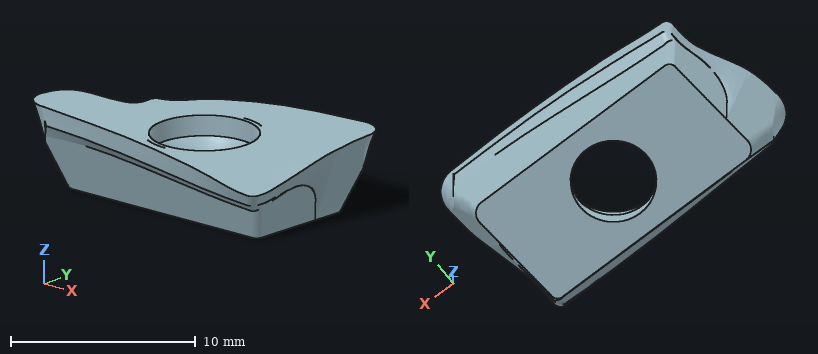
import cadquery as cq
import math


height = 4.8
nose_band_height = 4.0
corner_height = 2.9
corner_low_height = 2.23
nose_half_width = 4.65

ring_height = 3.72
ring_radius = 3.3
mouth_radius = 3.01
bore_radius = 2.32
seat_top = 2.55
seat_bottom = 0.69

bottom_half_width = 3.49
bottom_half_length = 6.94
end_skew = 0.08
body_taper = 0.28
end_flank_taper = 0.4

V = cq.Vector


def half_turn(point):
    return V(-point.x, -point.y, point.z)


def on_side(x, z):
    """Point on the flat tapered long side."""
    return V(x, -bottom_half_width - body_taper * z, z)


def on_end(y, z, taper):
    """Point on an end plane that leans outward by the given taper."""
    return V(bottom_half_length + end_skew * y + taper * z, y, z)


def on_body_end(y, z):
    return on_end(y, z, body_taper)


def on_flank_end(y, z):
    return on_end(y, z, end_flank_taper)


def on_ring(degrees):
    angle = math.radians(degrees)
    return V(ring_radius * math.cos(angle), ring_radius * math.sin(angle), ring_height)


def both(shapes):
    """The given shapes together with their half-turn copies."""
    return shapes + [shape.rotate(V(0, 0, 0), V(0, 0, 1), 180) for shape in shapes]


def line(start, end):
    return cq.Edge.makeLine(start, end)


def curve(points):
    return cq.Edge.makeSpline(points)


def arc(start, middle, end):
    return cq.Edge.makeThreePointArc(start, middle, end)


def ring_arc(start, end):
    return arc(on_ring(start), on_ring((start + end) / 2), on_ring(end))


def span(upper, lower):
    return cq.Face.makeRuledSurface(upper, lower)


def flat(*edges):
    return cq.Face.makeFromWires(cq.Wire.assembleEdges(list(edges)))


def polygon(*points):
    return flat(*[line(start, end) for start, end in zip(points, points[1:] + points[:1])])


nose_top = [V(9.08, 3.03, height), V(8.63, 4.18, height), V(7.6, nose_half_width, height)]
nose_low = [
    on_flank_end(3.07, nose_band_height),
    V(8.3, 4.14, nose_band_height),
    V(7.4, nose_half_width, nose_band_height),
]
nose_seat = [on_flank_end(3.4, 2.72), V(8.03, 3.8, 2.42), half_turn(on_side(-7.65, 2.98))]
nose_bottom = [on_flank_end(2.58, 0), V(6.92, 3.25, 0), half_turn(on_side(-6.43, 0))]

corner_top = [V(7.0, -4.75, corner_height), V(7.35, -4.63, corner_height), V(7.5, -4.29, corner_height)]
corner_low = [
    V(6.72, -4.49, corner_low_height),
    V(7.06, -4.4, corner_low_height),
    V(7.23, -4.09, corner_low_height),
]
corner_seat = [on_side(6.65, 1.75), V(7.06, -3.9, 1.87), on_body_end(-3.63, 2.05)]
corner_bottom = [on_side(6.2, 0), V(6.55, -3.38, 0), on_body_end(-3.03, 0)]

side_top_start = V(-7.48, -nose_half_width, height)
side_top = curve([
    side_top_start, V(-4.7, -4.75, 4.65), V(-2.18, -4.81, 4.47), V(-0.25, -4.83, 4.27),
    V(1.8, -4.85, 3.95), V(3.98, -4.83, 3.56), V(5.55, -4.8, 3.15), corner_top[0],
])
side_low_start = V(-7.3, -nose_half_width, 3.75)
side_low = curve([
    side_low_start, V(-3.69, -4.72, 3.55), V(-0.13, -4.75, 3.16), V(2, -4.72, 2.85),
    V(5.63, -4.55, 2.35), corner_low[0],
])
side_seat = curve([
    half_turn(nose_seat[2]), on_side(-3.69, 3.0), on_side(-0.13, 2.58), on_side(3.43, 2.07),
    corner_seat[0],
])
side_bottom = line(half_turn(nose_bottom[2]), corner_bottom[0])

flank_top = [on_flank_end(1.1, 4.55), on_flank_end(1.63, 4.67), on_flank_end(2.22, 4.74)]
flank_low = on_flank_end(0.76, 3.78)
flank_bottom = on_flank_end(0.98, 0)
rim_top = curve([
    corner_top[2], V(7.54, -3.45, 2.95), V(7.63, -2.67, 3.12), V(7.83, -1.95, 3.4), V(8.05, -1.3, 3.67),
    V(8.25, -0.76, 3.92), V(8.52, -0.02, 4.25), V(8.7, 0.53, 4.43), flank_top[0],
])
rim_low = curve([
    corner_low[2], V(7.26, -3.27, 2.25), V(7.43, -2.4, 2.49), V(7.75, -1.3, 2.98), V(8.23, -0.1, 3.49),
    flank_low,
])
hollow_seat = curve([
    corner_seat[2], on_body_end(-2.4, 2.42), on_body_end(-1.3, 2.63), on_body_end(-0.35, 2.43),
    on_body_end(0.44, 1.7), on_body_end(0.7, 0.98), flank_bottom,
])

side_walls = [
    polygon(half_turn(nose_top[2]), side_top_start, side_low_start, half_turn(nose_low[2])),
    span(side_top, side_low),
    span(side_low, side_seat),
    span(side_seat, side_bottom),
    polygon(half_turn(nose_low[2]), side_low_start, half_turn(nose_seat[2])),
]
corner_walls = [
    span(arc(*corner_top), arc(*corner_low)),
    span(arc(*corner_low), arc(*corner_seat)),
    span(arc(*corner_seat), arc(*corner_bottom)),
]
end_walls = [
    span(rim_top, rim_low),
    span(rim_low, hollow_seat),
    flat(hollow_seat, line(flank_bottom, corner_bottom[2]), line(corner_bottom[2], corner_seat[2])),
    flat(
        curve(flank_top), line(flank_top[2], nose_low[0]), line(nose_low[0], nose_seat[0]),
        line(nose_seat[0], nose_bottom[0]), line(nose_bottom[0], flank_bottom),
        line(flank_bottom, flank_low), line(flank_low, flank_top[0]),
    ),
    polygon(flank_top[2], nose_top[0], nose_low[0]),
]
nose_walls = [
    span(arc(*nose_top), arc(*nose_low)),
    span(arc(*nose_low), arc(*nose_seat)),
    span(arc(*nose_seat), arc(*nose_bottom)),
]

top_edges = [
    line(half_turn(nose_top[2]), side_top_start), side_top, arc(*corner_top), rim_top,
    curve(flank_top), line(flank_top[2], nose_top[0]), arc(*nose_top),
]
ring_angles = [-141, -140, -41, -33, 9, 17.5, 22.5, 39]
ring_arcs = [ring_arc(start, end) for start, end in zip(ring_angles, ring_angles[1:])]
top_walls = [span(edge, inner) for edge, inner in zip(top_edges, ring_arcs)]

half = side_walls + corner_walls + end_walls + nose_walls + top_walls
bottom_edges = [
    side_bottom, arc(*corner_bottom), line(corner_bottom[2], flank_bottom),
    line(flank_bottom, nose_bottom[0]), arc(*nose_bottom),
]
shell = cq.Shell.makeShell(both(half) + [flat(*both(bottom_edges)), flat(*both(ring_arcs))])
blank = cq.Workplane(cq.Solid.makeSolid(shell))

seat_width = mouth_radius - bore_radius
seat_depth = seat_top - seat_bottom
seat_rounding = (seat_width**2 + seat_depth**2) / (2 * seat_width)
half_sweep = math.asin(seat_depth / seat_rounding) / 2
seat_middle = (
    bore_radius + seat_rounding * (1 - math.cos(half_sweep)),
    seat_bottom + seat_rounding * math.sin(half_sweep),
)
screw_hole = (
    cq.Workplane("XZ")
    .lineTo(bore_radius, 0)
    .lineTo(bore_radius, seat_bottom)
    .threePointArc(seat_middle, (mouth_radius, seat_top))
    .lineTo(mouth_radius, height)
    .lineTo(0, height)
    .close()
    .revolve(360, (0, 0, 0), (0, 1, 0))
)

result = cq.Workplane(blank.cut(screw_hole).solids().val())